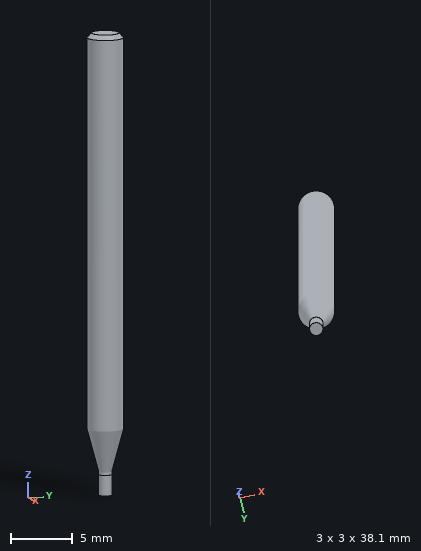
import cadquery as cq

total_length = 38.1
shank_diameter = 3.0
end_chamfer = 0.4
tip_diameter = 1.1
tip_length = 1.7
neck_length = 0.23
taper_length = 3.55

shank_radius = shank_diameter / 2
tip_radius = tip_diameter / 2
taper_start = tip_length + neck_length
taper_end = taper_start + taper_length


def make_shank():
    """Round shank with a chamfered upper end, tapering down to a short neck."""
    return (
        cq.Workplane("XZ")
        .moveTo(0, tip_length)
        .lineTo(tip_radius, tip_length)
        .lineTo(tip_radius, taper_start)
        .lineTo(shank_radius, taper_end)
        .lineTo(shank_radius, total_length - end_chamfer)
        .lineTo(shank_radius - end_chamfer, total_length)
        .lineTo(0, total_length)
        .close()
        .revolve(360, (0, 0), (0, 1))
    )


def make_tip():
    """Plain cylindrical tip that meets the lower face of the neck."""
    return cq.Workplane("XY").circle(tip_radius).extrude(tip_length)


shank = make_shank()
tip = make_tip()

result = cq.Compound.makeCompound([shank.val(), tip.val()])